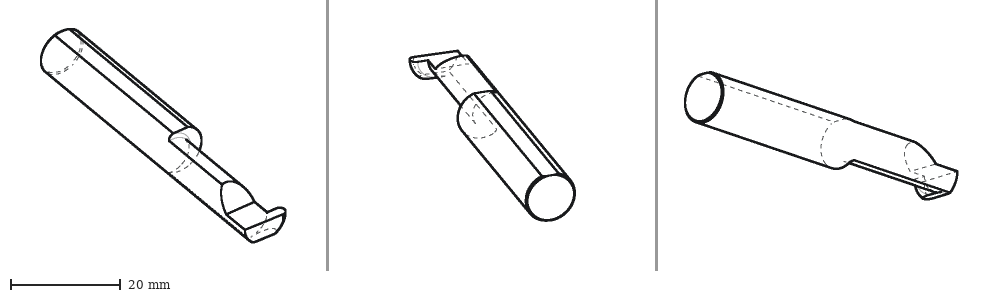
import cadquery as cq
import math

total_length = 63.5
shank_diameter = 9.525
shank_radius = shank_diameter / 2
flat_height = 4.478
end_chamfer = 0.25

neck_length = 26.67
neck_radius = 3.81
neck_max_y = 1.65
neck_center_y = neck_max_y - neck_radius
neck_start = total_length - neck_length
root_fillet = 0.6

rake_height = 0.0
rake_length = 6.08
ramp_angle = 45.0
rake_start = total_length - rake_length

tooth_width = 2.2
nose_radius = tooth_width / 2
nose_center_x = total_length - nose_radius
nose_center_y = shank_radius - nose_radius
end_relief_angle = 2.0
clearance_angle = 1.5


def make_shank():
    """Full-length round bar, chamfered at its back end, with the top flat."""
    bar = cq.Workplane("YZ").circle(shank_radius).extrude(total_length)
    bar = bar.faces("<X").chamfer(end_chamfer)
    flat_cut = cq.Workplane("XY").workplane(offset=flat_height).rect(
        2 * total_length, 2 * shank_diameter
    ).extrude(shank_diameter)
    return bar.cut(flat_cut)


def make_shank_zone():
    """Block around the stretch that keeps the full shank section."""
    return cq.Workplane("YZ").rect(2 * shank_diameter, 2 * shank_diameter).extrude(neck_start)


def make_neck():
    """Offset neck cylinder with a concave fillet where it leaves the shank."""
    fillet_end = neck_start + root_fillet
    fillet_middle = root_fillet * (1 - math.sqrt(0.5))
    root_radius = neck_radius + root_fillet
    return (
        cq.Workplane("XY")
        .workplane(origin=(0, neck_center_y, 0))
        .moveTo(neck_start, 0)
        .lineTo(neck_start, root_radius)
        .threePointArc(
            (neck_start + fillet_middle, neck_radius + fillet_middle),
            (fillet_end, neck_radius),
        )
        .lineTo(total_length, neck_radius)
        .lineTo(total_length, 0)
        .close()
        .revolve(360, (0, 0, 0), (1, 0, 0))
    )


def make_tooth():
    """Round-nosed tooth turned about the shank axis, kept from the rake down to the neck's lowest level."""
    turned_profile = (
        cq.Workplane("XY")
        .moveTo(nose_center_x - nose_radius, 0)
        .lineTo(nose_center_x - nose_radius, nose_center_y)
        .threePointArc(
            (nose_center_x, nose_center_y + nose_radius),
            (nose_center_x + nose_radius, nose_center_y),
        )
        .lineTo(total_length, 0)
        .close()
        .revolve(360, (0, 0, 0), (1, 0, 0))
    )
    kept_zone = cq.Workplane("XY").box(
        total_length,
        shank_radius - neck_center_y,
        rake_height + neck_radius,
        centered=False,
    ).translate((0, neck_center_y, -neck_radius))
    return turned_profile.intersect(kept_zone)


def make_rake_cut():
    """Material above the rake face and above the ramp leading up to the neck."""
    cut_rise = shank_diameter
    ramp_run = cut_rise / math.tan(math.radians(ramp_angle))
    return (
        cq.Workplane("XZ")
        .moveTo(rake_start, rake_height)
        .lineTo(total_length, rake_height)
        .lineTo(total_length, rake_height + cut_rise)
        .lineTo(rake_start - ramp_run, rake_height + cut_rise)
        .close()
        .extrude(shank_diameter, both=True)
    )


def make_end_relief_cut():
    """Block beyond the end face, tilted about the widest point of the nose."""
    size = 2 * shank_diameter
    block = cq.Workplane("XY").box(size, size, size).translate((size / 2, -size / 2, 0))
    block = block.rotate((0, 0, 0), (0, 1, 0), clearance_angle)
    block = block.rotate((0, 0, 0), (0, 0, 1), -end_relief_angle)
    return block.translate((total_length, nose_center_y, rake_height))


envelope = make_shank_zone().union(make_neck()).union(make_tooth())
result = make_shank().intersect(envelope).cut(make_rake_cut()).cut(make_end_relief_cut())